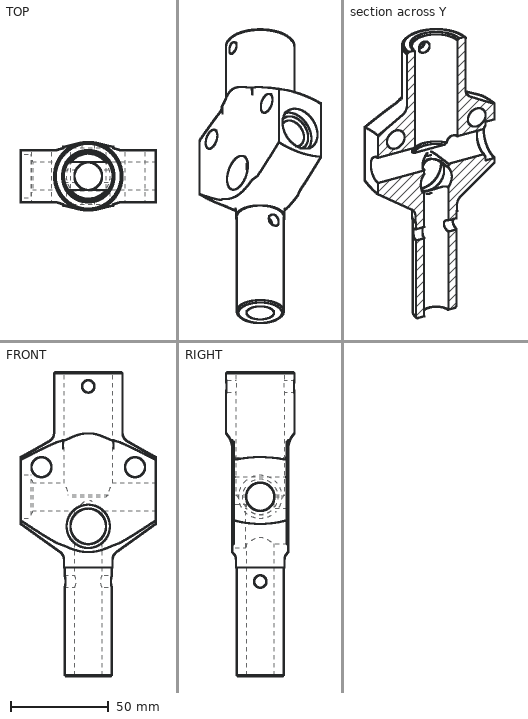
import cadquery as cq
import math

total_height = 155.7
socket_radius = 17.52
spigot_radius = 12.07
collar_radius = 12.5
edge_chamfer = 1.0

collar_bottom = 55.7
collar_top = 59.6
socket_base_z = 124.5

body_width = 69.0
plate_thickness = 26.8
blank_margin = 1.5
lower_fillet_radius = 5.0
upper_fillet_radius = 5.0
lower_cone_angle = math.radians(54.4)
upper_cone_angle = math.radians(60.8)

pad_thickness = 28.8
pad_width = 25.7
pad_base_width = 32.2
pad_flat_top = 116.6
pad_sweep_radius = 10.9

socket_bore_radius = 12.5
socket_floor_z = 91.9
spigot_bore_radius = 7.0
counterbore_radius = 11.0
front_bore_radius = 9.0
front_bore_z = 76.8
front_counterbore_floor_y = -7.5
side_bore_radius = 7.2
side_bore_z = 91.9
side_counterbore_depth = 5.3
side_countersink_depth = 1.1
side_countersink_radius = 9.0

pin_radius = 3.1
socket_pin_z = 148.2
spigot_pin_z = 48.6
mount_hole_radius = 5.06
mount_hole_spacing = 47.8
mount_hole_z = 107.0


def turned_blank():
    """Revolve the outer profile; each cone blends into its neck with a tangent arc."""
    blank_radius = math.hypot(body_width, plate_thickness) / 2 + blank_margin

    def blend(neck_radius, neck_z, radius, angle, direction):
        """Points on the neck-to-cone arc: middle, end, then the far end of the cone."""
        def arc_point(turn):
            return (neck_radius + radius * (1 - math.cos(turn)),
                    neck_z + direction * radius * math.sin(turn))

        end = arc_point(angle)
        run = blank_radius - end[0]
        far = (blank_radius, end[1] + direction * run / math.tan(angle))
        return arc_point(angle / 2), end, far

    low_mid, low_end, low_far = blend(
        collar_radius, collar_top, lower_fillet_radius, lower_cone_angle, 1)
    up_mid, up_end, up_far = blend(
        socket_radius, socket_base_z, upper_fillet_radius, upper_cone_angle, -1)
    return (
        cq.Workplane("XZ")
        .lineTo(spigot_radius - edge_chamfer, 0)
        .lineTo(spigot_radius, edge_chamfer)
        .lineTo(spigot_radius, collar_bottom)
        .lineTo(collar_radius, collar_bottom)
        .lineTo(collar_radius, collar_top)
        .threePointArc(low_mid, low_end)
        .lineTo(*low_far)
        .lineTo(*up_far)
        .lineTo(*up_end)
        .threePointArc(up_mid, (socket_radius, socket_base_z))
        .lineTo(socket_radius, total_height - edge_chamfer)
        .lineTo(socket_radius - edge_chamfer, total_height)
        .lineTo(0, total_height)
        .close()
        .revolve(360, (0, 0), (0, 1))
    )


def flat_envelope():
    """Plate with sloping-sided pads that sweep outward to meet the socket."""
    half_plate = plate_thickness / 2
    half_pad = pad_thickness / 2
    plate = cq.Workplane("XY").box(
        body_width, plate_thickness, total_height, centered=(True, True, False))
    pad = (
        cq.Workplane("XY")
        .moveTo(-pad_base_width / 2, half_plate)
        .lineTo(-pad_width / 2, half_pad)
        .lineTo(pad_width / 2, half_pad)
        .lineTo(pad_base_width / 2, half_plate)
        .lineTo(pad_base_width / 2, 0)
        .lineTo(-pad_base_width / 2, 0)
        .close()
        .extrude(total_height)
    )
    sweep_corner = pad_sweep_radius * math.sqrt(0.5)
    sweep_end = (half_pad + pad_sweep_radius, pad_flat_top + pad_sweep_radius)
    sweep = (
        cq.Workplane("YZ")
        .moveTo(0, pad_flat_top)
        .lineTo(half_pad, pad_flat_top)
        .threePointArc(
            (sweep_end[0] - sweep_corner, pad_flat_top + sweep_corner), sweep_end)
        .lineTo(sweep_end[0], total_height)
        .lineTo(0, total_height)
        .close()
        .extrude(pad_width / 2, both=True)
    )
    one_side = pad.union(sweep)
    return plate.union(one_side).union(one_side.mirror("XZ"))


def cylinder(radius, length, start, direction):
    return cq.Workplane(cq.Solid.makeCylinder(
        radius, length, cq.Vector(*start), cq.Vector(*direction)))


def through_hole(radius, x, y, z, direction):
    """Cutter centred on a point and long enough to cross the whole part."""
    start = cq.Vector(x, y, z) - cq.Vector(*direction) * (total_height / 2)
    return cylinder(radius, total_height, start.toTuple(), direction)


def vertical_bore():
    """Socket bore with chamfered mouth and floor edge, above a through spigot bore."""
    bevel_radius = socket_bore_radius - edge_chamfer
    return (
        cq.Workplane("XZ")
        .lineTo(spigot_bore_radius, 0)
        .lineTo(spigot_bore_radius, socket_floor_z)
        .lineTo(bevel_radius, socket_floor_z)
        .lineTo(socket_bore_radius, socket_floor_z + edge_chamfer)
        .lineTo(socket_bore_radius, total_height - edge_chamfer)
        .lineTo(socket_bore_radius + edge_chamfer, total_height)
        .lineTo(0, total_height)
        .close()
        .revolve(360, (0, 0), (0, 1))
    )


def front_bore():
    """Through bore along Y, counterbored from the -Y face."""
    counterbore = cylinder(
        counterbore_radius, pad_thickness,
        (0, front_counterbore_floor_y, front_bore_z), (0, -1, 0))
    return through_hole(front_bore_radius, 0, 0, front_bore_z, (0, 1, 0)).union(counterbore)


def side_bore():
    """Through bore along X, countersunk and counterbored from the -X end."""
    end_x = -body_width / 2
    floor_x = end_x + side_counterbore_depth
    cutter = (
        cq.Workplane("XZ")
        .moveTo(end_x, 0)
        .lineTo(end_x, counterbore_radius)
        .lineTo(floor_x, counterbore_radius)
        .lineTo(floor_x, side_countersink_radius)
        .lineTo(floor_x + side_countersink_depth, side_bore_radius)
        .lineTo(-end_x, side_bore_radius)
        .lineTo(-end_x, 0)
        .close()
        .revolve(360, (0, 0), (1, 0))
    )
    return cutter.translate((0, 0, side_bore_z))


result = turned_blank().intersect(flat_envelope())
result = result.cut(vertical_bore()).cut(front_bore()).cut(side_bore())
result = result.cut(through_hole(pin_radius, 0, 0, socket_pin_z, (0, 1, 0)))
result = result.cut(through_hole(pin_radius, 0, 0, spigot_pin_z, (1, 0, 0)))
for side in (-1, 1):
    mount_x = side * mount_hole_spacing / 2
    result = result.cut(through_hole(mount_hole_radius, mount_x, 0, mount_hole_z, (0, 1, 0)))